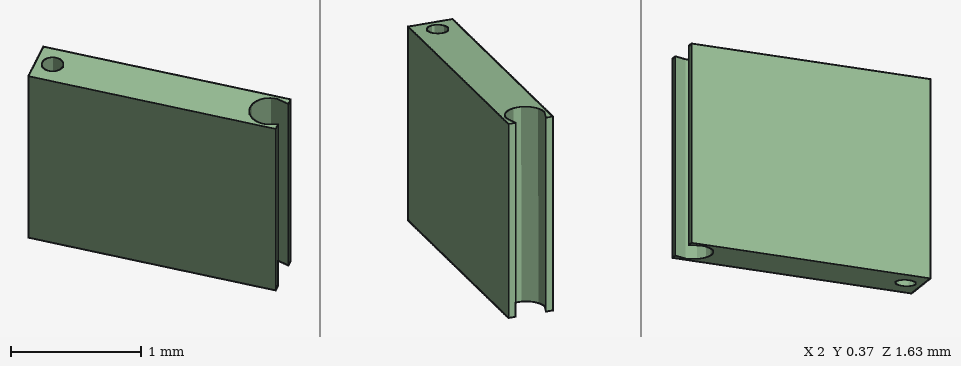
import cadquery as cq

length = 2.0
thickness = 0.37
height = 1.63

hole_x = -length / 2 + 0.135
hole_diameter = 0.165
hole_top_y = 0.005
hole_bottom_width = 0.162
hole_bottom_depth = 0.135
hole_bottom_y = 0.015

seat_half_width = 0.155
lip_length = 0.095
mouth_half_width = 0.125
socket_top_depth = 0.265
socket_bottom_depth = 0.248
mouth_overrun = 0.02


def tapered_hole():
    """Cutter blending from the flattened bottom opening to the round top."""
    return (
        cq.Workplane("XY")
        .center(hole_x, hole_bottom_y)
        .ellipse(hole_bottom_width / 2, hole_bottom_depth / 2)
        .workplane(offset=height)
        .center(0, hole_top_y - hole_bottom_y)
        .ellipse(hole_diameter / 2, hole_diameter / 2)
        .loft(ruled=True)
    )


def socket_outline(plane, depth):
    """Round seat of the given depth, with straight lips out past the end."""
    end_x = length / 2
    seat_x = end_x - lip_length
    lip_slope = (seat_half_width - mouth_half_width) / lip_length
    outer_half_width = mouth_half_width - lip_slope * mouth_overrun
    return (
        plane.moveTo(end_x + mouth_overrun, outer_half_width)
        .lineTo(seat_x, seat_half_width)
        .threePointArc((end_x - depth, 0), (seat_x, -seat_half_width))
        .lineTo(end_x + mouth_overrun, -outer_half_width)
        .close()
    )


def socket():
    """Cutter for the socket, slightly deeper at the top than at the bottom."""
    bottom = socket_outline(cq.Workplane("XY"), socket_bottom_depth)
    top = socket_outline(bottom.workplane(offset=height, origin=(0, 0, 0)), socket_top_depth)
    return top.loft(ruled=True)


plate = cq.Workplane("XY").box(length, thickness, height, centered=(True, True, False))
result = plate.cut(tapered_hole()).cut(socket())